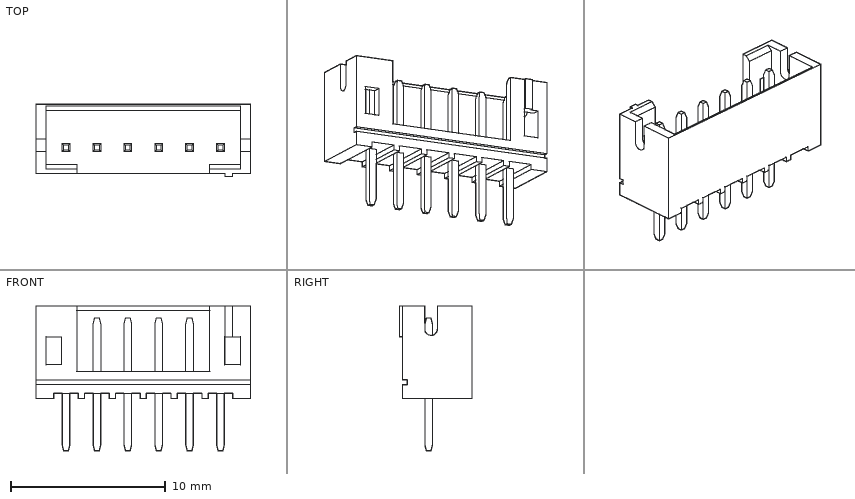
import cadquery as cq


LENGTH = 13.9
DEPTH = 4.5
HEIGHT = 6.0
CAVITY_DEPTH = 4.25
END_WALL = 0.65
FRONT_WALL = 0.61
BACK_WALL = 0.42
RIM_CHAMFER_WIDTH = 0.3
RIM_CHAMFER_HEIGHT = 0.29

FRONT_GAP_LENGTH = 8.59
LATCH_WINDOW_LENGTH = 1.0
LATCH_WINDOW_HEIGHT = 1.81
LATCH_WINDOW_DROP = 2.0
END_SLOT_WIDTH = 0.8
END_SLOT_DEPTH = 1.9

RIB_WIDTH = 0.5
RIB_PROJECTION = 0.2
GROOVE_HEIGHT = 0.3
GROOVE_DEPTH = 0.3
GROOVE_BOTTOM = 0.9

PIN_COUNT = 6
PITCH = 2.0
PIN_WIDTH = 0.5
PIN_Y = 1.7
PIN_TOP_RECESS = 0.78
PIN_TAIL = 3.39
PIN_TIP_WIDTH = 0.3
PIN_TIP_LENGTH = 0.38

NOTCH_LENGTH = 1.58
NOTCH_HEIGHT = 0.33

FLOOR_Z = HEIGHT - CAVITY_DEPTH
CAVITY_HALF_LENGTH = LENGTH / 2 - END_WALL
CAVITY_BACK_Y = DEPTH - BACK_WALL
PIN_POSITIONS = [(i - (PIN_COUNT - 1) / 2) * PITCH for i in range(PIN_COUNT)]


def block(x_range, y_range, z_range):
    """Axis-aligned block spanning the given (low, high) ranges."""
    (x0, x1), (y0, y1), (z0, z1) = x_range, y_range, z_range
    return cq.Workplane("XY").box(x1 - x0, y1 - y0, z1 - z0, centered=False).translate((x0, y0, z0))


def centred(length):
    """Range of the given length centred on zero."""
    return (-length / 2, length / 2)


def cavity():
    """Cavity whose front and back walls are chamfered along the rim."""
    rim_z = HEIGHT - RIM_CHAMFER_HEIGHT
    profile = [
        (FRONT_WALL, FLOOR_Z),
        (CAVITY_BACK_Y, FLOOR_Z),
        (CAVITY_BACK_Y, rim_z),
        (CAVITY_BACK_Y + RIM_CHAMFER_WIDTH, HEIGHT),
        (FRONT_WALL - RIM_CHAMFER_WIDTH, HEIGHT),
        (FRONT_WALL, rim_z),
    ]
    return cq.Workplane("YZ").polyline(profile).close().extrude(CAVITY_HALF_LENGTH, both=True)


def front_gap():
    """Opening in the middle of the front wall, level with the cavity floor."""
    return block(centred(FRONT_GAP_LENGTH), (0, FRONT_WALL), (FLOOR_Z, HEIGHT))


def latch_window(side):
    """Window through the front wall, flush with the cavity end on one side (-1 or 1)."""
    outer_x = side * CAVITY_HALF_LENGTH
    inner_x = outer_x - side * LATCH_WINDOW_LENGTH
    top_z = HEIGHT - LATCH_WINDOW_DROP
    return block(sorted((inner_x, outer_x)), (0, FRONT_WALL), (top_z - LATCH_WINDOW_HEIGHT, top_z))


def end_slots():
    """Round-bottomed slot through both end walls, its front side in line with the pins' front."""
    radius = END_SLOT_WIDTH / 2
    front_y = PIN_Y - PIN_WIDTH / 2
    back_y = front_y + END_SLOT_WIDTH
    bottom_z = HEIGHT - END_SLOT_DEPTH
    return (
        cq.Workplane("YZ")
        .moveTo(front_y, HEIGHT)
        .lineTo(front_y, bottom_z + radius)
        .threePointArc((front_y + radius, bottom_z), (back_y, bottom_z + radius))
        .lineTo(back_y, HEIGHT)
        .close()
        .extrude(LENGTH / 2, both=True)
    )


def front_groove():
    """Groove along the whole front face below the cavity."""
    return block(centred(LENGTH), (0, GROOVE_DEPTH), (GROOVE_BOTTOM, GROOVE_BOTTOM + GROOVE_HEIGHT))


def key_rib():
    """Rib above the +X latch window, in line with the window's inner edge."""
    rib_x = CAVITY_HALF_LENGTH - LATCH_WINDOW_LENGTH
    return block((rib_x, rib_x + RIB_WIDTH), (-RIB_PROJECTION, 0), (HEIGHT - LATCH_WINDOW_DROP, HEIGHT))


def bottom_notch(x):
    """Notch across the housing bottom around one pin."""
    return block(centred(NOTCH_LENGTH), (0, DEPTH), (0, NOTCH_HEIGHT)).translate((x, 0, 0))


def pin(x):
    """Square pin with a tapered tip at each end."""
    shank_bottom = PIN_TIP_LENGTH - PIN_TAIL
    shank_top = HEIGHT - PIN_TOP_RECESS - PIN_TIP_LENGTH
    shank = block(centred(PIN_WIDTH), centred(PIN_WIDTH), (shank_bottom, shank_top))

    def tip(base_z, direction):
        return (
            cq.Workplane("XY", origin=(0, 0, base_z))
            .rect(PIN_WIDTH, PIN_WIDTH)
            .workplane(offset=direction * PIN_TIP_LENGTH)
            .rect(PIN_TIP_WIDTH, PIN_TIP_WIDTH)
            .loft(ruled=True)
        )

    return shank.union(tip(shank_top, 1)).union(tip(shank_bottom, -1)).translate((x, PIN_Y, 0))


result = block(centred(LENGTH), (0, DEPTH), (0, HEIGHT))
result = result.cut(cavity()).cut(front_gap()).cut(end_slots()).cut(front_groove())
for side in (-1, 1):
    result = result.cut(latch_window(side))
result = result.union(key_rib())
for pin_x in PIN_POSITIONS:
    result = result.cut(bottom_notch(pin_x)).union(pin(pin_x))